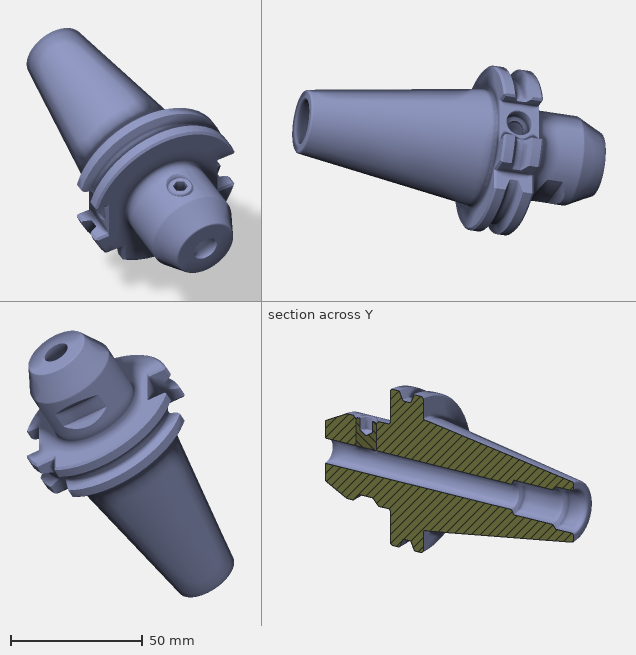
import cadquery as cq
import math

LENGTH = 118.2

TAPER_RATIO = 7 / 24
SMALL_END_DIAMETER = 24.5
SMALL_END_FILLET = 0.8
TAPER_LENGTH = 69.4
NECK_FILLET = 1.0

FLANGE_START = 71.4
FLANGE_END = 87.3
FLANGE_DIAMETER = 63.5
FLANGE_CHAMFER = 0.8
GROOVE_CENTRE = 79.3
GROOVE_DIAMETER = 56.2
GROOVE_TOP_WIDTH = 7.1
GROOVE_FLOOR_WIDTH = 3.5
GROOVE_FILLET = 0.6

SLOT_WIDTH = 16.1
FRONT_SLOT_FLOOR = 24.7
BACK_SLOT_FLOOR = 22.7
NOTCH_OFFSET = 18.3
SLOT_FILLET = 0.4
NOTCH_FILLET = 0.7
EDGE_CHAMFER = 0.8

SLOT_HOLE_DIAMETER = 10.0
SLOT_HOLE_DEPTH = 5.0
SLOT_HOLE_CHAMFER = 0.2
PILOT_DIAMETER = 6.4
PILOT_DEPTH = 1.2

SHANK_DIAMETER = 34.5
SHANK_ROOT_FILLET = 1.0
NOSE_START = 107.8
NOSE_DIAMETER = 24.4
NOSE_EDGE_FILLET = 1.0
NOSE_FILLET = 0.7

MOUTH_FILLET = 1.0
GUIDE_DIAMETER = 17.0
GUIDE_DEPTH = 8.4
THREAD_DIAMETER = 13.8
THREAD_DEPTH = 28.4
THROUGH_DIAMETER = 10.0
DRILL_TIP_ANGLE = 118.0

SCREW_X = 98.7
SCREW_DIAMETER = 9.6
SCREW_CHAMFER = 0.6
SCREW_TOP_Z = 16.7
SCREW_BOTTOM_Z = THROUGH_DIAMETER / 2
COUNTERSINK_DIAMETER = 12.1
HEX_ACROSS_FLATS = 5.0
HEX_DEPTH = 4.7

RELIEF_FLOOR_Z = -14.4
RELIEF_FLOOR_WIDTH = 6.3

SMALL_END_RADIUS = SMALL_END_DIAMETER / 2
NECK_RADIUS = SMALL_END_RADIUS + TAPER_LENGTH * TAPER_RATIO / 2
FLANGE_RADIUS = FLANGE_DIAMETER / 2
FLANGE_WIDTH = FLANGE_END - FLANGE_START
GROOVE_RADIUS = GROOVE_DIAMETER / 2
SHANK_RADIUS = SHANK_DIAMETER / 2
NOSE_RADIUS = NOSE_DIAMETER / 2
DRILL_TIP_SLOPE = 1 / math.tan(math.radians(DRILL_TIP_ANGLE / 2))


def turned(points):
    """Solid turned about the X axis from (x, radius) points."""
    return cq.Workplane("XZ").polyline(points).close().revolve(360, (0, 0, 0), (1, 0, 0))


def circles(body, x, radius):
    """Circular edges about the X axis at a given place and radius."""
    def fits(edge):
        if edge.geomType() != "CIRCLE":
            return False
        centre = edge.arcCenter()
        target = cq.Vector(x, 0, 0)
        return (centre - target).Length < 0.001 and abs(edge.radius() - radius) < 0.001

    return body.newObject([edge for edge in body.edges().vals() if fits(edge)])


def drilled(radius, depth):
    """Drill shape pointing down from the origin, with its cone tip below the depth."""
    tip = depth + radius * DRILL_TIP_SLOPE
    points = [(0, 0), (radius, 0), (radius, -depth), (0, -tip)]
    return cq.Workplane("XZ").polyline(points).close().revolve(360, (0, 0, 0), (0, 1, 0))


def outer_body():
    """Taper, neck, grooved flange, shank and nose as one turned solid."""
    half_top = GROOVE_TOP_WIDTH / 2
    half_floor = GROOVE_FLOOR_WIDTH / 2
    body = turned([
        (0, 0),
        (0, SMALL_END_RADIUS),
        (TAPER_LENGTH, NECK_RADIUS),
        (FLANGE_START, NECK_RADIUS),
        (FLANGE_START, FLANGE_RADIUS),
        (GROOVE_CENTRE - half_top, FLANGE_RADIUS),
        (GROOVE_CENTRE - half_floor, GROOVE_RADIUS),
        (GROOVE_CENTRE + half_floor, GROOVE_RADIUS),
        (GROOVE_CENTRE + half_top, FLANGE_RADIUS),
        (FLANGE_END, FLANGE_RADIUS),
        (FLANGE_END, SHANK_RADIUS),
        (NOSE_START, SHANK_RADIUS),
        (LENGTH, NOSE_RADIUS),
        (LENGTH, 0),
    ])
    body = circles(body, 0, SMALL_END_RADIUS).fillet(SMALL_END_FILLET)
    body = circles(body, FLANGE_START, NECK_RADIUS).fillet(NECK_FILLET)
    for x in (FLANGE_START, FLANGE_END):
        body = circles(body, x, FLANGE_RADIUS).chamfer(FLANGE_CHAMFER)
    for x in (GROOVE_CENTRE - half_floor, GROOVE_CENTRE + half_floor):
        body = circles(body, x, GROOVE_RADIUS).fillet(GROOVE_FILLET)
    body = circles(body, FLANGE_END, SHANK_RADIUS).fillet(SHANK_ROOT_FILLET)
    body = circles(body, NOSE_START, SHANK_RADIUS).fillet(NOSE_EDGE_FILLET)
    return circles(body, LENGTH, NOSE_RADIUS).fillet(NOSE_FILLET)


def cut_bore(body):
    """Mouth, guide, thread core and through hole, joined by conical steps."""
    guide = GUIDE_DIAMETER / 2
    thread = THREAD_DIAMETER / 2
    through = THROUGH_DIAMETER / 2
    guide_step = guide - thread
    thread_step = (thread - through) * DRILL_TIP_SLOPE
    bore = turned([
        (0, 0),
        (0, guide),
        (GUIDE_DEPTH, guide),
        (GUIDE_DEPTH + guide_step, thread),
        (THREAD_DEPTH, thread),
        (THREAD_DEPTH + thread_step, through),
        (LENGTH, through),
        (LENGTH, 0),
    ])
    return circles(body.cut(bore), 0, guide).fillet(MOUTH_FILLET)


def flange_cut(y_floor, z_low, z_high, rounded, fillet):
    """Block through the flange, from a floor at y_floor outwards, with rounded inner corners."""
    outward = math.copysign(FLANGE_RADIUS, y_floor)
    depth = abs(outward - y_floor)
    block = cq.Workplane("XY").box(FLANGE_WIDTH, depth, z_high - z_low)
    block = block.edges(rounded).fillet(fillet)
    return block.translate((
        (FLANGE_START + FLANGE_END) / 2,
        (y_floor + outward) / 2,
        (z_low + z_high) / 2,
    ))


def cut_drive_slot(body, y_floor):
    """Drive slot with chamfered walls on both flange faces and on the rim."""
    half = SLOT_WIDTH / 2
    side = math.copysign(1, y_floor)
    inner_edges = "|X and <Y" if side > 0 else "|X and >Y"
    body = body.cut(flange_cut(y_floor, -half, half, inner_edges, SLOT_FILLET))
    depth = FLANGE_RADIUS - abs(y_floor)
    for face, inward in ((FLANGE_START, 1), (FLANGE_END, -1)):
        flare = (
            cq.Workplane("XZ", origin=(0, y_floor, 0))
            .polyline([
                (face, half + EDGE_CHAMFER),
                (face + inward * EDGE_CHAMFER, half),
                (face + inward * EDGE_CHAMFER, -half),
                (face, -half - EDGE_CHAMFER),
            ])
            .close()
            .extrude(-side * depth)
        )
        body = body.cut(flare)
    rim = math.sqrt(FLANGE_RADIUS**2 - (half + EDGE_CHAMFER) ** 2)
    flare = (
        cq.Workplane("YZ", origin=(FLANGE_START, 0, 0))
        .polyline([
            (side * (rim - EDGE_CHAMFER), half),
            (side * rim, half + EDGE_CHAMFER),
            (side * FLANGE_RADIUS, half + EDGE_CHAMFER),
            (side * FLANGE_RADIUS, -half - EDGE_CHAMFER),
            (side * rim, -half - EDGE_CHAMFER),
            (side * (rim - EDGE_CHAMFER), -half),
        ])
        .close()
        .extrude(FLANGE_WIDTH)
    )
    return body.cut(flare)


def cut_notch(body):
    """Orientation notch at the lower front of the flange, chamfered on both flange faces."""
    block = flange_cut(-NOTCH_OFFSET, -FLANGE_RADIUS, -NOTCH_OFFSET, "|X and >Y and >Z", NOTCH_FILLET)
    body = body.cut(block)
    size = FLANGE_RADIUS - NOTCH_OFFSET
    wide = size + 2 * EDGE_CHAMFER
    middle = -(FLANGE_RADIUS + NOTCH_OFFSET) / 2
    for face, inward in ((FLANGE_START, 1), (FLANGE_END, -1)):
        flare = (
            cq.Workplane("YZ", origin=(face, middle, middle))
            .rect(wide, wide)
            .workplane(offset=inward * EDGE_CHAMFER)
            .rect(size, size)
            .loft()
        )
        body = body.cut(flare)
    return body


def cut_slot_hole(body):
    """Blind hole with a pilot drilling in the floor of the front drive slot."""
    radius = SLOT_HOLE_DIAMETER / 2
    hole = cq.Workplane("XY").circle(radius).extrude(-SLOT_HOLE_DEPTH)
    mouth = cq.Workplane("XY").circle(radius + SLOT_HOLE_CHAMFER).extrude(-SLOT_HOLE_CHAMFER, taper=45)
    pilot = drilled(PILOT_DIAMETER / 2, SLOT_HOLE_DEPTH + PILOT_DEPTH)
    tool = hole.union(mouth).union(pilot).rotate((0, 0, 0), (1, 0, 0), 90)
    return body.cut(tool.translate((GROOVE_CENTRE, -FRONT_SLOT_FLOOR, 0)))


def cut_screw_hole(body):
    """Radial hole from the top of the shank into the bore, with a 45 degree countersink."""
    radius = SCREW_DIAMETER / 2
    countersink = COUNTERSINK_DIAMETER / 2
    hole = (
        cq.Workplane("XZ", origin=(SCREW_X, 0, 0))
        .polyline([
            (0, 0),
            (radius, 0),
            (radius, SHANK_RADIUS - (countersink - radius)),
            (countersink, SHANK_RADIUS),
            (0, SHANK_RADIUS),
        ])
        .close()
        .revolve(360, (0, 0, 0), (0, 1, 0))
    )
    return body.cut(hole)


def cut_relief_groove(body):
    """Groove with 45 degree sides across the underside of the shank."""
    half_floor = RELIEF_FLOOR_WIDTH / 2
    depth = SHANK_RADIUS + RELIEF_FLOOR_Z
    groove = (
        cq.Workplane("XZ", origin=(SCREW_X, 0, 0))
        .polyline([
            (-half_floor, RELIEF_FLOOR_Z),
            (half_floor, RELIEF_FLOOR_Z),
            (half_floor + depth, -SHANK_RADIUS),
            (-half_floor - depth, -SHANK_RADIUS),
        ])
        .close()
        .extrude(SHANK_RADIUS, both=True)
    )
    return body.cut(groove)


def make_holder():
    """Tool holder: turned body with its bore, flange cuts, screw hole and relief groove."""
    body = cut_bore(outer_body())
    body = cut_drive_slot(body, -FRONT_SLOT_FLOOR)
    body = cut_drive_slot(body, BACK_SLOT_FLOOR)
    body = cut_notch(body)
    body = cut_slot_hole(body)
    body = cut_screw_hole(body)
    return cut_relief_groove(body)


def make_screw():
    """Headless screw with a chamfered top and a hexagon socket ending in a cone."""
    screw = (
        cq.Workplane("XY", origin=(0, 0, SCREW_BOTTOM_Z))
        .circle(SCREW_DIAMETER / 2)
        .extrude(SCREW_TOP_Z - SCREW_BOTTOM_Z)
        .faces(">Z")
        .chamfer(SCREW_CHAMFER)
    )
    hex_diameter = HEX_ACROSS_FLATS / math.cos(math.pi / 6)
    drill = drilled(hex_diameter / 2, HEX_DEPTH)
    prism = cq.Workplane("XY").polygon(6, hex_diameter).extrude(-SCREW_TOP_Z)
    socket = prism.intersect(drill).translate((0, 0, SCREW_TOP_Z))
    return screw.cut(socket).translate((SCREW_X, 0, 0))


holder = make_holder()
clamping_screw = make_screw()
result = cq.Compound.makeCompound([holder.val(), clamping_screw.val()])